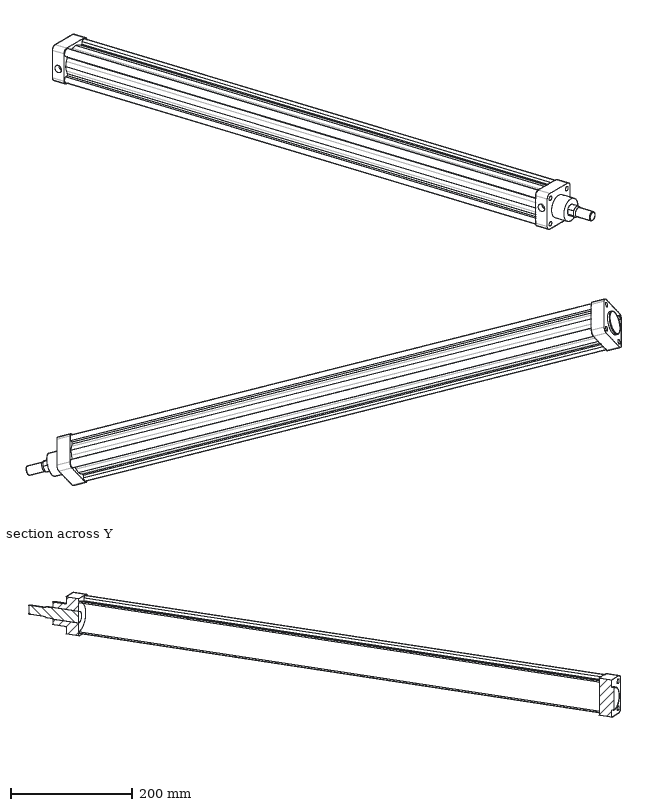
import cadquery as cq
import math

TOTAL_LENGTH = 1079.0
BOSS_LENGTH = 4.0
CAP_LENGTH = 24.0
COLLAR_LENGTH = 25.0
HEAD_CAP_END = 1010.0
REAR_CAP_START = BOSS_LENGTH
REAR_CAP_END = REAR_CAP_START + CAP_LENGTH
HEAD_CAP_START = HEAD_CAP_END - CAP_LENGTH
COLLAR_END = HEAD_CAP_END + COLLAR_LENGTH

BOLT_SPACING = 46.0
BOLT_EDGE_DISTANCE = 9.3
BOLT_HOLE_DIAMETER = 8.0
BOLT_HOLE_DEPTH = 16.0
CAP_SIZE = BOLT_SPACING + 2 * BOLT_EDGE_DISTANCE
CAP_CORNER_RADIUS = 8.0
BOSS_DIAMETER = 40.0
BOSS_CHAMFER = 1.0
PORT_DIAMETER = 13.0
PORT_DEPTH = 11.0
PORT_OFFSET = 5.9

BORE_DIAMETER = 50.0
RIDGE_HEIGHT = 28.0
INNER_FACE_WIDTH = 9.0
INNER_FACE_TILT = 14
OUTER_FACE_WIDTH = 5.9
OUTER_FACE_TILT = 24
LOBE_CENTER = 24.0
LOBE_RADIUS = 7.0
LOBE_END_ANGLE = 50

ROD_DIAMETER = 19.0
FLATS_WIDTH = 17.0
SHOULDER_LENGTH = 3.0
THREAD_DIAMETER = 16.0
THREAD_LENGTH = 29.0
THREAD_CHAMFER = 1.0
THREAD_START = TOTAL_LENGTH - THREAD_LENGTH
SHOULDER_START = THREAD_START - SHOULDER_LENGTH


def tilt_drop(width, tilt):
    """Height lost across a face of the given width and tilt in degrees."""
    return width * math.tan(math.radians(tilt))


def rod_along_x(start, end, diameter):
    """Round bar on the cylinder axis between two X stations."""
    return cq.Workplane("YZ", origin=(start, 0, 0)).circle(diameter / 2).extrude(end - start)


def cap_block(start, end, port_height):
    """Square block with rounded long edges and a supply port in its -Y side."""
    block = cq.Workplane("YZ", origin=(start, 0, 0)).rect(CAP_SIZE, CAP_SIZE).extrude(end - start)
    block = block.edges("|X").fillet(CAP_CORNER_RADIUS)
    port = (
        cq.Workplane("XZ", origin=((start + end) / 2, -CAP_SIZE / 2, port_height))
        .circle(PORT_DIAMETER / 2)
        .extrude(-PORT_DEPTH)
    )
    return block.cut(port)


def bolt_holes(face, depth):
    """Four blind corner holes starting at X = face; a negative depth runs towards -X."""
    return (
        cq.Workplane("YZ", origin=(face, 0, 0))
        .rect(BOLT_SPACING, BOLT_SPACING, forConstruction=True)
        .vertices()
        .circle(BOLT_HOLE_DIAMETER / 2)
        .extrude(depth)
    )


def make_rear_cap():
    boss = rod_along_x(0, REAR_CAP_START, BOSS_DIAMETER).faces("<X").chamfer(BOSS_CHAMFER)
    block = cap_block(REAR_CAP_START, REAR_CAP_END, -PORT_OFFSET)
    return block.union(boss).cut(bolt_holes(REAR_CAP_START, BOLT_HOLE_DEPTH))


def make_head_cap():
    collar = rod_along_x(HEAD_CAP_END, COLLAR_END, BOSS_DIAMETER)
    block = cap_block(HEAD_CAP_START, HEAD_CAP_END, PORT_OFFSET)
    cap = block.union(collar).cut(bolt_holes(HEAD_CAP_END, -BOLT_HOLE_DEPTH))
    return cap.cut(rod_along_x(HEAD_CAP_START, COLLAR_END, ROD_DIAMETER))


def barrel_profile():
    """Outline of four rounded corner lobes joined by grooved sides with a low central ridge."""
    inner_height = RIDGE_HEIGHT - tilt_drop(INNER_FACE_WIDTH, INNER_FACE_TILT)
    floor_height = inner_height - tilt_drop(OUTER_FACE_WIDTH, OUTER_FACE_TILT)
    floor_start = INNER_FACE_WIDTH + OUTER_FACE_WIDTH
    lobe_end = math.radians(LOBE_END_ANGLE)
    wall = LOBE_CENTER - LOBE_RADIUS * math.sin(lobe_end)
    wall_height = LOBE_CENTER + LOBE_RADIUS * math.cos(lobe_end)
    lobe_tip = LOBE_CENTER + LOBE_RADIUS * math.sqrt(0.5)

    side = [
        (-wall, floor_height),
        (-floor_start, floor_height),
        (-INNER_FACE_WIDTH, inner_height),
        (0, RIDGE_HEIGHT),
        (INNER_FACE_WIDTH, inner_height),
        (floor_start, floor_height),
        (wall, floor_height),
        (wall, wall_height),
    ]
    lobe = [(lobe_tip, lobe_tip), (wall_height, wall)]

    profile = cq.Workplane("YZ", origin=(REAR_CAP_END, 0, 0)).moveTo(-wall, wall_height)
    for _ in range(4):
        for point in side:
            profile = profile.lineTo(*point)
        profile = profile.threePointArc(*lobe)
        side = [(v, -u) for u, v in side]
        lobe = [(v, -u) for u, v in lobe]
    return profile.close()


def make_barrel():
    body = barrel_profile().extrude(HEAD_CAP_START - REAR_CAP_END)
    return body.cut(rod_along_x(REAR_CAP_END, HEAD_CAP_START, BORE_DIAMETER))


def make_piston_rod():
    shank = rod_along_x(HEAD_CAP_START, SHOULDER_START, ROD_DIAMETER)
    flats = (
        cq.Workplane("YZ", origin=(COLLAR_END, 0, 0))
        .rect(2 * ROD_DIAMETER, 2 * ROD_DIAMETER)
        .rect(FLATS_WIDTH, 2 * ROD_DIAMETER)
        .extrude(SHOULDER_START - COLLAR_END)
    )
    shoulder = (
        cq.Workplane("YZ", origin=(SHOULDER_START, 0, 0))
        .circle(ROD_DIAMETER / 2)
        .workplane(offset=SHOULDER_LENGTH)
        .circle(THREAD_DIAMETER / 2)
        .loft(ruled=True)
    )
    thread = rod_along_x(THREAD_START, TOTAL_LENGTH, THREAD_DIAMETER).faces(">X").chamfer(THREAD_CHAMFER)
    return shank.cut(flats).union(shoulder).union(thread)


rear_cap = make_rear_cap()
barrel = make_barrel()
head_cap = make_head_cap()
piston_rod = make_piston_rod()

result = cq.Compound.makeCompound([rear_cap.val(), barrel.val(), head_cap.val(), piston_rod.val()])